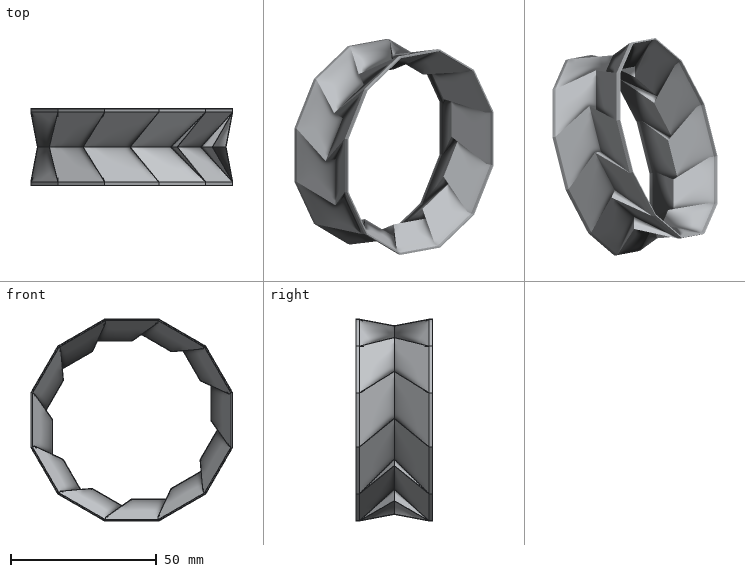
import cadquery as cq
import math

SIDES = 12
ACROSS_FLATS = 69.35
WIDTH = 26.4
FOLD_WIDTH = 24.0
WALL = 0.5
WAIST_APOTHEM = 27.75
WAIST_START = -16.7
WAIST_END = -0.55

STEP = 360 / SIDES
RIM_APOTHEM = ACROSS_FLATS / 2
HALF_SIDE_RATIO = math.tan(math.radians(STEP / 2))
PANEL_SLOPE = math.atan2(RIM_APOTHEM - WAIST_APOTHEM, FOLD_WIDTH / 2)



def turned(point, sector):
    """Move a point of sector 0 to another sector."""
    turn = math.radians(STEP * sector)
    x = point.x * math.cos(turn) + point.z * math.sin(turn)
    z = point.z * math.cos(turn) - point.x * math.sin(turn)
    return cq.Vector(x, point.y, z)


def rim_corner(inset, y):
    """Corner where the rim side begins, on the skin lying `inset` inside the outer one."""
    apothem = RIM_APOTHEM - inset
    return cq.Vector(-apothem * HALF_SIDE_RATIO, y, apothem)


def inset_plane(points, inset):
    """Plane through three points, moved inwards; kept as its normal and its distance from the origin."""
    first, second, third = points
    normal = (second - first).cross(third - first).normalized()
    return normal, normal.dot(first) - inset


def meeting_point(plane_a, plane_b, plane_c):
    (na, da), (nb, db), (nc, dc) = plane_a, plane_b, plane_c
    weighted = nb.cross(nc) * da + nc.cross(na) * db + na.cross(nb) * dc
    return weighted * (1 / na.dot(nb.cross(nc)))


def sector_outlines(inset):
    """Band, panel and gusset outlines of the skin lying `inset` inside the outer one."""
    outer_begin = rim_corner(0, -FOLD_WIDTH / 2)
    outer_finish = turned(outer_begin, 1)
    waist_begin = cq.Vector(WAIST_START, 0, WAIST_APOTHEM)
    waist_finish = cq.Vector(WAIST_END, 0, WAIST_APOTHEM)
    panel_corners = [outer_begin, outer_finish, waist_finish]
    panel_plane = inset_plane(panel_corners, inset)
    next_panel_plane = inset_plane([turned(corner, 1) for corner in panel_corners], inset)
    gusset_plane = inset_plane([waist_finish, outer_finish, turned(waist_begin, 1)], inset)
    waist_plane = (cq.Vector(0, 1, 0), 0)

    end_begin = rim_corner(inset, -WIDTH / 2)
    fold_begin = rim_corner(inset, -FOLD_WIDTH / 2 - inset * math.tan(PANEL_SLOPE / 2))
    fold_finish = turned(fold_begin, 1)
    finish = meeting_point(panel_plane, gusset_plane, waist_plane)
    next_begin = meeting_point(next_panel_plane, gusset_plane, waist_plane)
    tip = meeting_point(panel_plane, next_panel_plane, gusset_plane)

    band = [end_begin, turned(end_begin, 1), fold_finish, fold_begin]
    panel = [fold_begin, fold_finish, tip, finish, turned(next_begin, -1), turned(tip, -1)]
    if inset == 0:
        panel = [fold_begin, fold_finish, finish, turned(next_begin, -1)]
        tip = fold_finish
    gusset = [finish, tip, next_begin]
    return [band, panel, gusset]


def flat_face(points):
    return cq.Face.makeFromWires(cq.Wire.makePolygon(points, close=True))


def pleated_block(inset):
    """Solid filling the whole ring up to the skin lying `inset` inside the outer one."""
    end_outline = [turned(rim_corner(inset, -WIDTH / 2), sector) for sector in range(SIDES)]
    outlines = [end_outline]
    for outline in sector_outlines(inset):
        for sector in range(SIDES):
            outlines.append([turned(point, sector) for point in outline])
    half = [flat_face(outline) for outline in outlines]
    other_half = [face.mirror("XZ") for face in half]
    return cq.Workplane(cq.Solid.makeSolid(cq.Shell.makeShell(half + other_half)).fix())


result = pleated_block(0).cut(pleated_block(WALL))